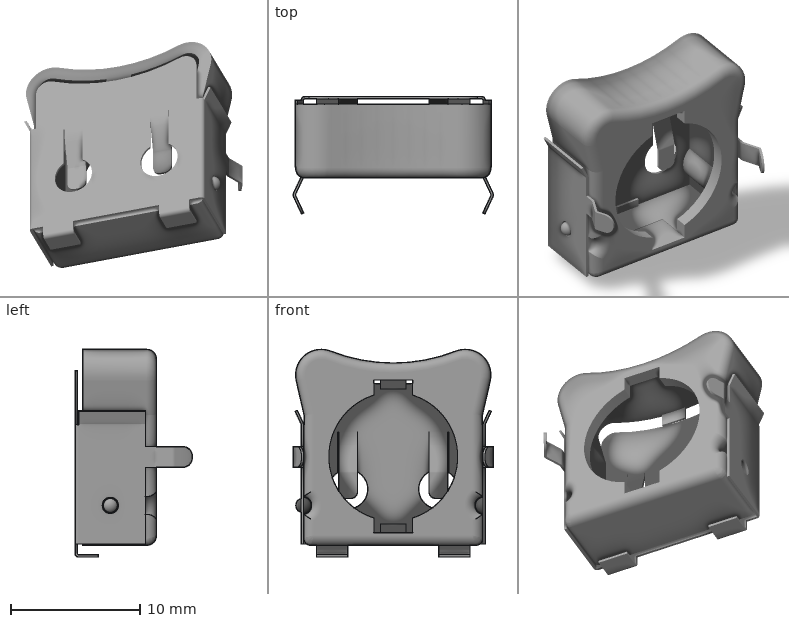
import cadquery as cq
import math


wall = 1.0
housing_depth = 5.72
housing_half_width = 6.9
housing_bottom = -6.87
ear_x = 5.57
ear_z = 6.31
ear_radius = 2.0
housing_top = ear_z + ear_radius
flank_angle = math.radians(12.8)
dip_radius = 13.2
front_fillet = 0.75
bottom_corner_radius = 0.5
groove_radius = 0.7
groove_x = 7.0
groove_z = -3.78

opening_radius = 4.99
slot_width = 3.01
slot_height = 11.85
slot_depth = 3.0
lip_width = 1.98
lip_thickness = 0.2
lip_edge_z = 5.23

sheet = 0.2
bend_radius = 0.2
clip_back = 6.31
clip_half_width = 7.13
side_front = 0.87
side_bottom = -6.78
side_top = 2.48
plate_half_width = 6.54
plate_corner_radius = 1.0
plate_corner_z = 5.65
plate_dip_radius = 14.0
splay_angle = math.radians(25)

flare_length = 1.13
arm_width = 1.61
arm_z = -0.03
arm_bend_y = 0.08
arm_tip_radius = 0.79
clip_reach = 7.76
clip_front = -2.79
dimple_radius = 0.65
dimple_recess_radius = 0.55
dimple_rim = 0.08
dimple_y = 3.57
foot_x = 4.73
foot_width = 2.45
foot_front = 4.5
foot_bottom = -7.8
finger_x = 3.5
finger_width = 1.48
finger_clearance = 0.05
finger_root_z = 1.9
finger_bend_z = -1.24
finger_tip_z = -3.25
finger_slope = math.radians(17)
finger_root_bend_radius = 3.55
finger_tip_radius = 0.55
window_z = -2.53
window_radius = 1.51

plate_mid_y = clip_back - sheet / 2
side_mid_x = clip_half_width - sheet / 2


def facing_front(start_y):
    """Workplane in X and Z at the given Y; extruding a negative length goes towards +Y."""
    return cq.Workplane(cq.Plane(origin=(0, start_y, 0), xDir=(1, 0, 0), normal=(0, -1, 0)))


def block(x_range, y_range, z_range):
    """Box between the given limits."""
    corner = [low for low, high in (x_range, y_range, z_range)]
    size = [high - low for low, high in (x_range, y_range, z_range)]
    return cq.Workplane("XY").box(*size, centered=False).translate(tuple(corner))


def rod(x, z, radius, start_y, end_y):
    """Cylinder along Y."""
    return facing_front(start_y).center(x, z).circle(radius).extrude(start_y - end_y)


def mirrored(body):
    """The same shape on the other side of the plane of symmetry."""
    return body.mirror("YZ")


def dip_between_ears(centre_x, centre_z, radius, hollow_radius):
    """Hollow arc tangent to two round ears: its right end (x, z) and the height of its lowest point."""
    centre_distance = radius + hollow_radius
    hollow_centre_rise = math.sqrt(centre_distance**2 - centre_x**2)
    ear_share = radius / centre_distance
    end_x = centre_x * (1 - ear_share)
    end_z = centre_z + hollow_centre_rise * ear_share
    return end_x, end_z, centre_z + hollow_centre_rise - hollow_radius




def eared_prism(inset, start_y, end_y):
    """Housing outline, moved inwards by inset: square below, two round ears and a dip on top."""
    half_width = housing_half_width - inset
    bottom = housing_bottom + inset
    radius = ear_radius - inset
    dip_x, dip_z, dip_bottom = dip_between_ears(ear_x, ear_z, radius, dip_radius + inset)
    flank_x = ear_x + radius * math.cos(flank_angle)
    flank_z = ear_z - radius * math.sin(flank_angle)
    waist_z = flank_z - (flank_x - half_width) / math.tan(flank_angle)
    diagonal = radius * math.sqrt(0.5)
    ear_side_x = ear_x + diagonal
    ear_side_z = ear_z + diagonal
    return (
        facing_front(start_y)
        .moveTo(-half_width, bottom)
        .lineTo(half_width, bottom)
        .lineTo(half_width, waist_z)
        .lineTo(flank_x, flank_z)
        .threePointArc((ear_side_x, ear_side_z), (dip_x, dip_z))
        .threePointArc((0, dip_bottom), (-dip_x, dip_z))
        .threePointArc((-ear_side_x, ear_side_z), (-flank_x, flank_z))
        .lineTo(-half_width, waist_z)
        .close()
        .extrude(start_y - end_y)
    )


def side_rods(radius, start_y, end_y):
    """Pair of cylinders along the axes of the two side grooves."""
    right = rod(groove_x, groove_z, radius, start_y, end_y)
    return right.union(mirrored(right))


def make_housing():
    outside = eared_prism(0, 0, housing_depth).edges("|Y and <Z").fillet(bottom_corner_radius)
    outside = outside.cut(side_rods(groove_radius, 0, housing_depth))
    outside = outside.faces("<Y").edges().fillet(front_fillet)

    cavity = eared_prism(wall, wall, housing_depth)
    cavity = cavity.cut(side_rods(groove_radius + wall, wall, housing_depth))
    body = outside.cut(cavity)

    body = body.cut(rod(0, 0, opening_radius, 0, wall))
    half_slot = slot_width / 2
    slot_z = (-slot_height / 2, slot_height / 2)
    body = body.cut(block((-half_slot, half_slot), (0, slot_depth), slot_z))

    lip_y = (housing_depth - lip_thickness, housing_depth)
    lips = block((-lip_width / 2, lip_width / 2), lip_y, (housing_bottom, housing_top))
    gap_between_lips = block((-lip_width / 2, lip_width / 2), lip_y, (-lip_edge_z, lip_edge_z))
    return body.union(lips.cut(gap_between_lips).intersect(eared_prism(wall / 2, 0, housing_depth)))




def bent_strip(points, width_direction, width, radii):
    """Sheet strip that follows points along its middle, with one bend radius per inner point."""
    corners = [cq.Vector(*point) for point in points]
    edges = []
    start = corners[0]
    for before, corner, after, radius in zip(corners, corners[1:], corners[2:], radii):
        incoming = (corner - before).normalized()
        outgoing = (after - corner).normalized()
        setback = radius * math.tan(incoming.getAngle(outgoing) / 2)
        arc_start = corner - incoming * setback
        edges.append(cq.Edge.makeLine(start, arc_start))
        start = corner + outgoing * setback
        edges.append(cq.Edge.makeTangentArc(arc_start, incoming, start))
    edges.append(cq.Edge.makeLine(start, corners[-1]))
    path = cq.Wire.assembleEdges(edges)
    section = cq.Plane(origin=points[0], xDir=width_direction, normal=(corners[1] - corners[0]).toTuple())
    return cq.Workplane(section).rect(width, sheet).sweep(cq.Workplane(path))


def make_channel():
    """Back and two sides of the clip, bent round at the corners."""

    def bar(inset, radius):
        bounds = block(
            (inset - clip_half_width, clip_half_width - inset),
            (side_front, clip_back - inset),
            (side_bottom, side_top),
        )
        return bounds.edges("|Z and >Y").fillet(radius)

    inner_radius = bend_radius - sheet / 2
    return bar(0, inner_radius + sheet).cut(bar(sheet, inner_radius))


def make_plate_top():
    """Upper part of the back plate: two rounded shoulders with a shallow dip between them."""
    shoulder_x = plate_half_width - plate_corner_radius
    dip_x, dip_z, dip_bottom = dip_between_ears(
        shoulder_x, plate_corner_z, plate_corner_radius, plate_dip_radius
    )
    diagonal = plate_corner_radius * math.sqrt(0.5)
    round_x = shoulder_x + diagonal
    round_z = plate_corner_z + diagonal
    return (
        facing_front(clip_back - sheet)
        .moveTo(-plate_half_width, 0)
        .lineTo(plate_half_width, 0)
        .lineTo(plate_half_width, plate_corner_z)
        .threePointArc((round_x, round_z), (dip_x, dip_z))
        .threePointArc((0, dip_bottom), (-dip_x, dip_z))
        .threePointArc((-round_x, round_z), (-plate_half_width, plate_corner_z))
        .close()
        .extrude(-sheet)
    )


def make_flare():
    """Lead-in lip along the top edge of the right side, splayed outwards."""
    back = plate_mid_y - bend_radius
    middle_y = (side_front + back) / 2
    bend_z = side_top + bend_radius * math.tan(splay_angle / 2)
    path = [
        (side_mid_x, middle_y, side_top - sheet),
        (side_mid_x, middle_y, bend_z),
        (
            side_mid_x + flare_length * math.sin(splay_angle),
            middle_y,
            bend_z + flare_length * math.cos(splay_angle),
        ),
    ]
    return bent_strip(path, (0, 1, 0), back - side_front, [bend_radius])


def make_arm():
    """Snap arm on the front edge of the right side, bent outwards and back in, with a round tip."""
    bend_rounding = bend_radius * (1 / math.cos(splay_angle) - 1)
    elbow_x = clip_reach - sheet / 2 + bend_rounding
    slope = math.tan(splay_angle)
    elbow_y = arm_bend_y - (elbow_x - side_mid_x) / slope
    tip_y = clip_front + sheet / 2 * math.sin(splay_angle)
    path = [
        (side_mid_x, side_front + sheet, arm_z),
        (side_mid_x, arm_bend_y, arm_z),
        (elbow_x, elbow_y, arm_z),
        (elbow_x - (elbow_y - tip_y) * slope, tip_y, arm_z),
    ]
    strip = bent_strip(path, (0, 0, 1), arm_width, [bend_radius, bend_radius])
    return strip.faces("<Y").edges("not |Z").fillet(arm_tip_radius)


def make_foot():
    """Solder foot below the back plate, bent forwards."""
    foot_mid_z = foot_bottom + sheet / 2
    path = [
        (foot_x, plate_mid_y, side_bottom + sheet),
        (foot_x, plate_mid_y, foot_mid_z),
        (foot_x, foot_front, foot_mid_z),
    ]
    return bent_strip(path, (1, 0, 0), foot_width, [bend_radius])


def make_finger():
    """Contact finger cut out of the back plate and bent forwards."""
    setback = finger_root_bend_radius * math.tan(finger_slope / 2)
    slope_start_z = finger_root_z - setback
    contact_y = plate_mid_y - (slope_start_z - finger_bend_z) * math.tan(finger_slope)
    path = [
        (finger_x, plate_mid_y, finger_root_z + sheet),
        (finger_x, plate_mid_y, slope_start_z),
        (finger_x, contact_y, finger_bend_z),
        (finger_x, contact_y, finger_tip_z),
    ]
    strip = bent_strip(path, (1, 0, 0), finger_width, [finger_root_bend_radius, bend_radius])
    return strip.faces("<Z").edges("|Y").fillet(finger_tip_radius)


def make_finger_window():
    """Keyhole in the back plate around the finger."""
    plate_front = clip_back - sheet
    inner_x = finger_x - finger_width / 2
    outer_x = finger_x + finger_width / 2 + finger_clearance
    slit = block((inner_x, outer_x), (plate_front, clip_back), (window_z, finger_root_z))
    return slit.union(rod(finger_x, window_z, window_radius, plate_front, clip_back))


def add_dimple(side):
    """Press a round dimple into the right side, so that it bulges into the housing groove."""
    inward_of_outer_face = block((0, clip_half_width), (side_front, clip_back), (side_bottom, side_top))
    centre = (groove_x, dimple_y, groove_z)
    bulge = cq.Workplane("XY").sphere(dimple_radius).translate(centre).intersect(inward_of_outer_face)
    mouth = cq.Plane(origin=(clip_half_width, dimple_y, groove_z), xDir=(0, 1, 0), normal=(1, 0, 0))
    recess = cq.Workplane("XY").sphere(dimple_recess_radius).translate(centre)
    bore = cq.Workplane(mouth).circle(dimple_recess_radius).extrude(groove_x - clip_half_width)
    rim = (
        cq.Workplane(mouth)
        .circle(dimple_recess_radius + dimple_rim)
        .workplane(offset=-dimple_rim)
        .circle(dimple_recess_radius)
        .loft()
    )
    return side.union(bulge).cut(recess).cut(bore).cut(rim)


def make_clip():
    body = make_channel().union(make_plate_top())
    body = add_dimple(body)
    body = mirrored(add_dimple(mirrored(body)))
    window = make_finger_window()
    body = body.cut(window).cut(mirrored(window))
    for feature in (make_flare(), make_arm(), make_foot(), make_finger()):
        body = body.union(feature).union(mirrored(feature))
    return body


housing = make_housing()
clip = make_clip()
result = cq.Compound.makeCompound([housing.solids().val(), clip.solids().val()])